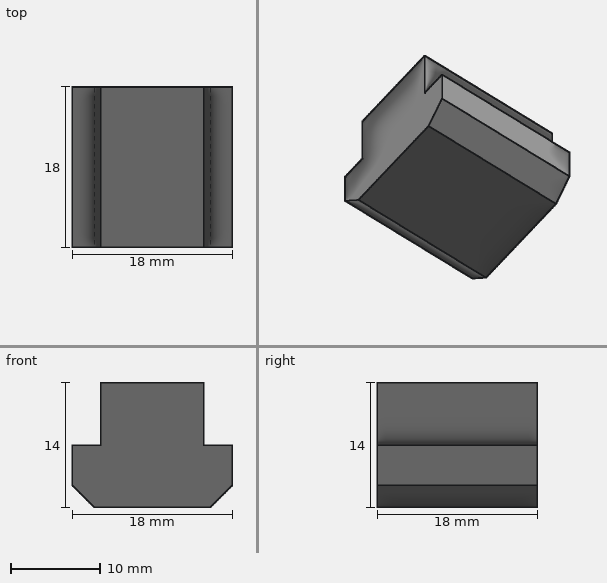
import cadquery as cq

base_width = 18.0
length = 18.0
height = 14.0

neck_width = 11.6
base_height = height / 2
bottom_chamfer = 2.5

neck_height = height - base_height


def centred_block(width, block_height, bottom):
    """Full-length block centred on X and Y, standing on the given Z level."""
    return (
        cq.Workplane("XY")
        .workplane(offset=bottom)
        .rect(width, length)
        .extrude(block_height)
    )


base = centred_block(base_width, base_height, 0).faces("<Z").edges("|Y").chamfer(bottom_chamfer)

neck = centred_block(neck_width, neck_height, base_height)

result = base.union(neck)